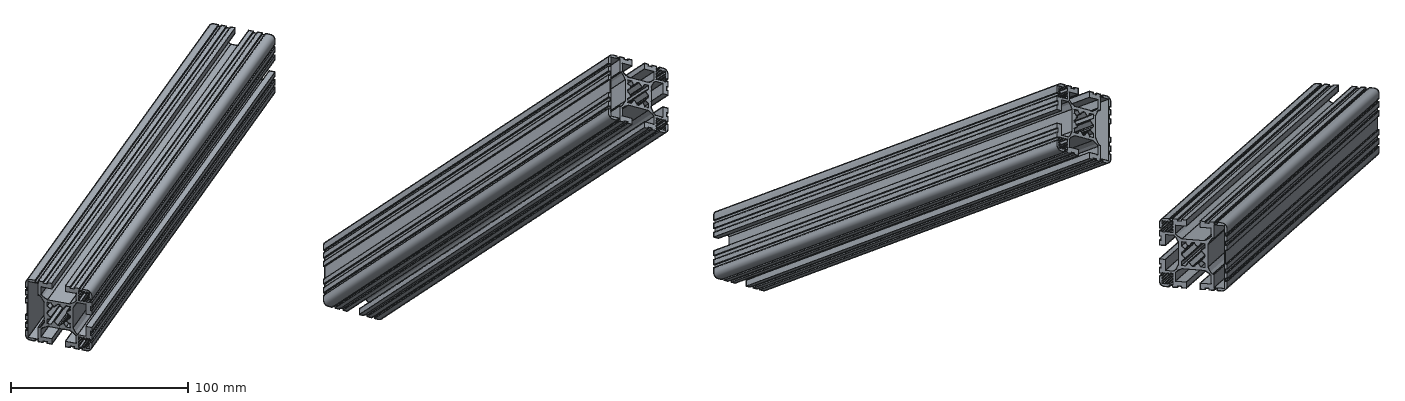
import cadquery as cq

length = 300.0
size = 40.0
half = size / 2
corner_radius = 3.3

groove_depth = 1.0
grooves = [(7.0, 9.3), (12.3, 14.0)]

slot_opening = 8.0
slot_half_width = 10.5
lip_thickness = 3.5
slot_floor = 8.7
web_offset = 1.0
ramp_start = 6.5
ramp_end = 9.3

wall = 1.65
cavity_inner = 12.3
recess_depth = 1.0

core_half = 7.0
core_tooth = {"inner": 0.45, "tip": 2.85, "tip_width": 0.5, "outer": 4.5, "height": 2.0}
channel_near = 12.0
channel_far = half - wall
channel_half = (channel_far - channel_near) / 2
channel_middle = (channel_far + channel_near) / 2
channel_tooth = {"inner": 0.3, "tip": 1.0, "tip_width": 0.3, "outer": 1.5, "height": 1.0}


def prism(sketch):
    """Extrude a closed XZ outline over the whole length, centred on Y."""
    return sketch.extrude(length / 2, both=True)


def polygon(points):
    return prism(cq.Workplane("XZ").polyline(points).close())


def block(x_middle, z_middle, width, height):
    return prism(cq.Workplane("XZ").center(x_middle, z_middle).rect(width, height))


def turned(body, quarters):
    """Turn a body about the profile axis; one quarter takes the +Z side to the -X side."""
    return body.rotate((0, 0, 0), (0, -1, 0), 90 * quarters)


def inner_slot():
    """Wide part of the +Z slot, between the lips and the core."""
    right = [
        (ramp_start, slot_floor),
        (ramp_end, ramp_end + web_offset),
        (slot_half_width, slot_half_width + web_offset),
        (slot_half_width, half - lip_thickness),
    ]
    left = [(-x, z) for x, z in reversed(right)]
    return polygon(right + left)


def open_slot():
    """Complete T-slot on the +Z side."""
    height = half - slot_floor
    throat = block(0, slot_floor + height / 2, slot_opening, height)
    return inner_slot().union(throat)


def closed_cavity():
    """Slot with a full-width hollow in place of its lips, on the +Z side."""
    outer = half - wall
    hollow = block(0, (outer + cavity_inner) / 2, 2 * outer, outer - cavity_inner)
    return inner_slot().union(hollow)


def cut_grooves(body):
    """Cut the grooves of all four outer faces."""
    for near, far in grooves:
        offset = (near + far) / 2
        for side in (-1, 1):
            groove = block(side * offset, half - groove_depth / 2, far - near, groove_depth)
            for quarters in range(4):
                body = body.cut(turned(groove, quarters))
    return body


def toothed_bore(bore_half, tooth):
    """Square bore on the profile axis with two blunt-tipped teeth on each wall."""
    bore = block(0, 0, 2 * bore_half, 2 * bore_half)
    tip_level = bore_half - tooth["height"]
    tip_half = tooth["tip_width"] / 2
    for side in (-1, 1):
        wedge = polygon([
            (side * tooth["inner"], bore_half),
            (side * (tooth["tip"] - tip_half), tip_level),
            (side * (tooth["tip"] + tip_half), tip_level),
            (side * tooth["outer"], bore_half),
        ])
        for quarters in range(4):
            bore = bore.cut(turned(wedge, quarters))
    return bore


result = block(0, 0, size, size).edges("|Y").fillet(corner_radius)
result = cut_grooves(result)

for quarters in (0, 2, 3):
    result = result.cut(turned(open_slot(), quarters))

result = result.cut(turned(closed_cavity(), 1))
result = result.cut(block(-half + recess_depth / 2, 0, recess_depth, slot_opening))

result = result.cut(toothed_bore(core_half, core_tooth))
for side in (-1, 1):
    channel = toothed_bore(channel_half, channel_tooth)
    result = result.cut(channel.translate((channel_middle, 0, side * channel_middle)))